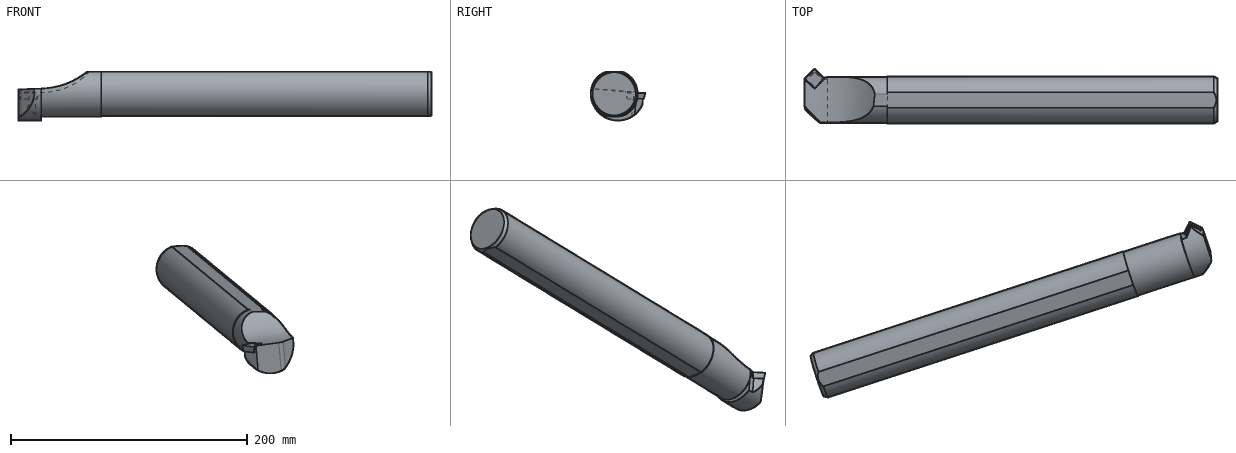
import cadquery as cq
import math

length = 349.5
shank_radius = 20.0
flat_height = 19.0
end_chamfer_length = 3.0
end_chamfer_depth = 1.7

neck_end = 70.0
neck_radius = 19.5

head_length = 19.2
head_radius = 22.7
head_offset = 3.0
nose_y = -6.0
nose_fillet = 6.0
nose_side_y = -19.4
head_side_y = 19.0

rake_tilt = 5.0
rake_height = 3.25
recess_flat_end = 24.5
recess_mid = (42.0, 7.7)
recess_exit = 59.0
recess_clear = (66.5, 26.5)

insert_side = 12.0
insert_half_diagonal = insert_side / math.sqrt(2)
insert_tip_y = 26.5
insert_center_y = insert_tip_y - insert_half_diagonal
insert_top = 0.87
insert_thickness = 5.2
insert_clearance = 11.0
seat_setback = 1.7

margin = 35.0


def bar(start, end, radius, offset):
    """Round bar along X, from start to end, with its axis shifted along Y."""
    return cq.Workplane("YZ", origin=(start, offset, 0)).circle(radius).extrude(end - start)


def tilted(shape):
    """Turn a shape about the bar axis so that its upper side falls toward +Y."""
    return shape.rotate((0, 0, 0), (1, 0, 0), -rake_tilt)


def make_shank():
    end_radius = shank_radius - end_chamfer_depth
    profile = (
        cq.Workplane("XY")
        .moveTo(neck_end, 0)
        .lineTo(neck_end, shank_radius)
        .lineTo(length - end_chamfer_length, shank_radius)
        .lineTo(length, end_radius)
        .lineTo(length, 0)
        .close()
    )
    shank = profile.revolve(360, (0, 0, 0), (1, 0, 0))
    flats = cq.Workplane("XY").box(3 * length, 4 * shank_radius, 2 * flat_height)
    return shank.intersect(flats)


def make_neck():
    below_flat = (
        cq.Workplane("XY", origin=(0, 0, flat_height))
        .rect(2 * length, 4 * shank_radius)
        .extrude(-2 * margin - flat_height)
    )
    return bar(head_length, neck_end, neck_radius, 0).intersect(below_flat)


def make_head():
    corner_y = insert_center_y - seat_setback
    seat_tip_y = insert_tip_y - seat_setback
    side_start_x = insert_half_diagonal + seat_tip_y - head_side_y
    nose_run = nose_y - nose_side_y
    outline = (
        cq.Workplane("XY", origin=(0, 0, -margin))
        .moveTo(0, nose_y)
        .lineTo(0, corner_y)
        .lineTo(insert_half_diagonal, seat_tip_y)
        .lineTo(side_start_x, head_side_y)
        .lineTo(margin, head_side_y)
        .lineTo(margin, nose_side_y)
        .lineTo(nose_run, nose_side_y)
        .close()
        .extrude(2 * margin)
    )
    nose_edge = cq.selectors.NearestToPointSelector((0, nose_y, 0))
    outline = outline.edges(nose_edge).fillet(nose_fillet)
    return bar(0, head_length, head_radius, head_offset).intersect(tilted(outline))


def make_recess():
    floor_points = [
        (0, rake_height),
        (recess_flat_end, rake_height),
        recess_mid,
        (recess_exit, flat_height),
        recess_clear,
    ]
    recess = (
        cq.Workplane("XZ", origin=(0, margin, 0))
        .moveTo(-margin, rake_height)
        .spline(floor_points, includeCurrent=True)
        .lineTo(recess_clear[0], 2 * margin)
        .lineTo(-margin, 2 * margin)
        .close()
        .extrude(2 * margin)
    )
    return tilted(recess)


def insert_square(z, side):
    """Centred square of the insert at height z, standing on its corner."""
    plane = cq.Workplane("XY", origin=(insert_half_diagonal, insert_center_y, z))
    return plane.transformed(rotate=(0, 0, 45)).rect(side, side)


def make_insert():
    base_side = insert_side - 2 * insert_thickness * math.tan(math.radians(insert_clearance))
    upper_face = insert_square(insert_top, insert_side)
    return upper_face.workplane(offset=-insert_thickness).rect(base_side, base_side).loft(ruled=True)


def make_holder(insert):
    body = make_shank().union(make_neck()).union(make_head())
    open_above = insert_square(insert_top, insert_side).extrude(margin)
    return body.cut(make_recess()).cut(open_above).cut(insert)


insert = make_insert()
holder = make_holder(insert)
result = cq.Compound.makeCompound([*holder.solids().vals(), insert.val()])